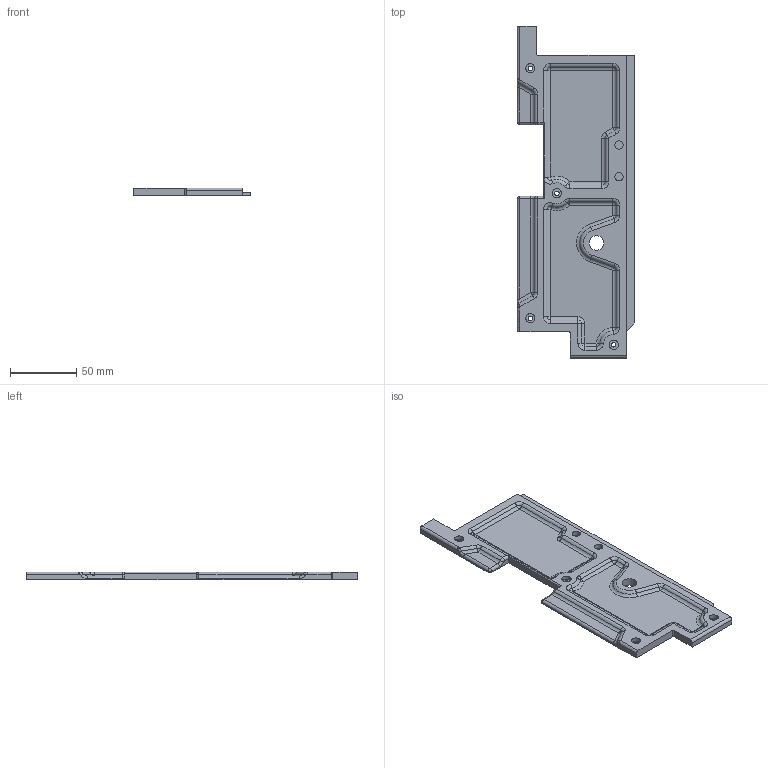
import cadquery as cq
import math

length = 251.0
height = 6.0
body_right = 82.5
arm_width = 14.5
shoulder_y = 229.0
tab_left = 40.0
step_y = 20.0
notch_depth = 20.0
notch_bottom = 122.3
notch_top = 176.3
inside_corner_radius = 1.0
edge_radius = 2.0
notch_edge_radius = 1.0

overall_width = 89.0
ledge_height = 2.5
ledge_width = overall_width - body_right

recess_depth = 3.0
floor_z = height - recess_depth
wall_radius = 3.0
wall_angle = math.acos(1 - recess_depth / (2 * wall_radius))
wall_half_width = wall_radius * math.sin(wall_angle)
wall_width = 2 * wall_half_width
floor_corner_radius = 0.1
rim_corner_radius = 0.1

screw_hole_diameter = 3.4
counterbore_diameter = 7.0
counterbore_depth = 3.0
dowel_hole_diameter = 6.3
dowel_hole_depth = 4.0
large_hole_diameter = 11.0
mid_screw = (30.0, 124.5)
tab_screw = (73.0, 10.0)
screw_points = [(10.0, 219.0), mid_screw, (10.0, 30.0), tab_screw]
dowel_points = [(77.0, 161.0), (77.0, 137.0)]
large_hole = (60.0, 87.0)

screw_land_rim_radius = 8.0
screw_land_radius = screw_land_rim_radius + wall_width
large_land_rim_radius = 10.0
large_land_radius = large_land_rim_radius + wall_width
land_flank_angle = math.radians(20)

right_margin = 5.0
shoulder_margin = 6.5
tab_margin = 6.0

upper_rim_bottom = 128.0
lower_rim_top = 120.7
jog_rim_corner = (69.2, 166.2)
jog_angle = math.radians(30)

floor_left = notch_depth + wall_width
floor_right = body_right - right_margin - wall_width
upper_floor_top = shoulder_y - shoulder_margin - wall_width
upper_floor_bottom = upper_rim_bottom + wall_width
lower_floor_top = lower_rim_top - wall_width

side_rim_right = 15.5
side_floor_right = side_rim_right - wall_width
upper_side_corner_y = 199.5
lower_side_corner_y = 49.5
side_slope_angle = math.radians(30)
overrun = 10.0
side_slope_rise = (side_floor_right + overrun) * math.tan(side_slope_angle)

clearance = 0.5

up = cq.Vector(0, 0, 1)


def circle_y(center, radius, x):
    """Half height of a circle at a given x."""
    return math.sqrt(radius**2 - (x - center[0]) ** 2)


def circle_x(center, radius, y):
    """Half width of a circle at a given y."""
    return math.sqrt(radius**2 - (y - center[1]) ** 2)


def make_plate():
    plate = (
        cq.Workplane("XY")
        .moveTo(tab_left, 0)
        .lineTo(body_right, 0)
        .lineTo(body_right, shoulder_y)
        .lineTo(arm_width, shoulder_y)
        .lineTo(arm_width, length)
        .lineTo(0, length)
        .lineTo(0, notch_top)
        .lineTo(notch_depth, notch_top)
        .lineTo(notch_depth, notch_bottom)
        .lineTo(0, notch_bottom)
        .lineTo(0, step_y)
        .lineTo(tab_left, step_y)
        .close()
        .extrude(height)
    )
    for x, y in [(arm_width, shoulder_y), (tab_left, step_y)]:
        plate = plate.edges(vertical_edge_at(x, y)).fillet(inside_corner_radius)
    for y in (notch_bottom, notch_top):
        plate = plate.edges(vertical_edge_at(0, y)).fillet(edge_radius)
    return plate


def vertical_edge_at(x, y):
    tolerance = 0.1
    return cq.selectors.BoxSelector(
        (x - tolerance, y - tolerance, 0),
        (x + tolerance, y + tolerance, height),
    )


def make_ledge():
    return (
        cq.Workplane("XY")
        .moveTo(body_right, step_y)
        .lineTo(overall_width, step_y + ledge_width)
        .lineTo(overall_width, shoulder_y)
        .lineTo(body_right, shoulder_y)
        .close()
        .extrude(ledge_height)
    )


def upper_floor():
    land_left_y = mid_screw[1] + circle_y(mid_screw, screw_land_radius, floor_left)
    land_right_x = mid_screw[0] + circle_x(mid_screw, screw_land_radius, upper_floor_bottom)
    jog_x, jog_y = jog_rim_corner
    jog_radius = wall_width + rim_corner_radius
    jog_end = (jog_x - jog_radius * math.sin(jog_angle), jog_y + jog_radius * math.cos(jog_angle))
    jog_start_y = jog_end[1] + (floor_right - jog_end[0]) * math.tan(jog_angle)
    return (
        cq.Workplane("XY", origin=(0, 0, floor_z))
        .moveTo(floor_left, upper_floor_top)
        .lineTo(floor_left, land_left_y)
        .radiusArc((land_right_x, upper_floor_bottom), screw_land_radius)
        .lineTo(jog_x - jog_radius, upper_floor_bottom)
        .lineTo(jog_x - jog_radius, jog_y)
        .radiusArc(jog_end, jog_radius)
        .lineTo(floor_right, jog_start_y)
        .lineTo(floor_right, upper_floor_top)
        .close()
    )


def lower_floor():
    land_left_y = mid_screw[1] - circle_y(mid_screw, screw_land_radius, floor_left)
    land_right_x = mid_screw[0] + circle_x(mid_screw, screw_land_radius, lower_floor_top)

    large_x, large_y = large_hole
    tangent_x = large_x - large_land_radius * math.sin(land_flank_angle)
    tangent_rise = large_land_radius * math.cos(land_flank_angle)
    flank_rise = tangent_rise + (floor_right - tangent_x) * math.tan(land_flank_angle)

    tab_floor_bottom = tab_margin + wall_width
    tab_land_x = tab_screw[0] - circle_x(tab_screw, screw_land_radius, tab_floor_bottom)
    tab_land_y = tab_screw[1] + circle_y(tab_screw, screw_land_radius, floor_right)

    rim_x = tab_left + tab_margin
    rim_y = step_y + tab_margin
    rim_radius = wall_width + rim_corner_radius
    return (
        cq.Workplane("XY", origin=(0, 0, floor_z))
        .moveTo(floor_left, land_left_y)
        .lineTo(floor_left, rim_y + rim_radius)
        .lineTo(rim_x, rim_y + rim_radius)
        .radiusArc((rim_x + rim_radius, rim_y), rim_radius)
        .lineTo(rim_x + rim_radius, tab_floor_bottom)
        .lineTo(tab_land_x, tab_floor_bottom)
        .radiusArc((floor_right, tab_land_y), screw_land_radius)
        .lineTo(floor_right, large_y - flank_rise)
        .lineTo(tangent_x, large_y - tangent_rise)
        .threePointArc((large_x - large_land_radius, large_y), (tangent_x, large_y + tangent_rise))
        .lineTo(floor_right, large_y + flank_rise)
        .lineTo(floor_right, lower_floor_top)
        .lineTo(land_right_x, lower_floor_top)
        .radiusArc((floor_left, land_left_y), screw_land_radius)
        .close()
    )


def side_floor(low_y, high_y, low_drop, high_rise):
    """Floor running out past the left side, its ends sloping apart by the drop and the rise."""
    return (
        cq.Workplane("XY", origin=(0, 0, floor_z))
        .moveTo(side_floor_right, low_y)
        .lineTo(side_floor_right, high_y)
        .lineTo(-overrun, high_y + high_rise)
        .lineTo(-overrun, low_y - low_drop)
        .close()
    )


def upper_side_floor():
    return side_floor(notch_top - overrun, upper_side_corner_y, 0, side_slope_rise)


def lower_side_floor():
    return side_floor(lower_side_corner_y, notch_bottom + overrun, side_slope_rise, 0)


def cut_recess(plate, floor):
    """Remove the volume over a floor outline and the S-shaped wall around it.

    The outline runs counterclockwise, so its outside is on the right of its direction.
    """
    core = floor.offset2D(floor_corner_radius).extrude(recess_depth + clearance)
    path = floor.val().offset2D(floor_corner_radius + wall_half_width)[0]

    outward = path.tangentAt(0).cross(up)
    section_plane = cq.Plane(path.startPoint(), outward, outward.cross(up))
    half_depth = recess_depth / 2
    bulge_x = wall_half_width - wall_radius * math.sin(wall_angle / 2)
    bulge_z = half_depth - wall_radius * (1 - math.cos(wall_angle / 2))
    wall = (
        cq.Workplane(section_plane)
        .moveTo(-wall_half_width, 0)
        .threePointArc((-bulge_x, half_depth - bulge_z), (0, half_depth))
        .threePointArc((bulge_x, half_depth + bulge_z), (wall_half_width, recess_depth))
        .lineTo(wall_half_width, recess_depth + clearance)
        .lineTo(-wall_half_width, recess_depth + clearance)
        .close()
        .sweep(cq.Workplane(path))
    )
    return plate.cut(core).cut(wall)


def top_points(plate, points):
    return plate.faces(">Z").workplane(origin=(0, 0, height)).pushPoints(points)


def drill_holes(plate):
    plate = top_points(plate, screw_points).cboreHole(
        screw_hole_diameter, counterbore_diameter, counterbore_depth
    )
    plate = top_points(plate, dowel_points).hole(dowel_hole_diameter, dowel_hole_depth)
    return top_points(plate, [large_hole]).hole(large_hole_diameter)


def nearest_to(point):
    return cq.selectors.NearestToPointSelector(point)


def round_top_edge(plate, x, y, radius):
    """Round the top edge centred nearest to (x, y), with its tangent neighbours."""
    return plate.edges(nearest_to((x, y, height))).fillet(radius)


result = make_plate()
result = round_top_edge(result, (tab_left + body_right) / 2, 0, edge_radius)

result = cut_recess(result, upper_side_floor())
result = cut_recess(result, lower_side_floor())
result = round_top_edge(result, 0, (shoulder_y + length) / 2, edge_radius)
result = round_top_edge(result, 0, (step_y + lower_side_corner_y) / 2, edge_radius)
result = round_top_edge(result, notch_depth, (notch_bottom + notch_top) / 2, notch_edge_radius)

result = cut_recess(result, upper_floor())
result = cut_recess(result, lower_floor())
result = result.union(make_ledge())
result = drill_holes(result)